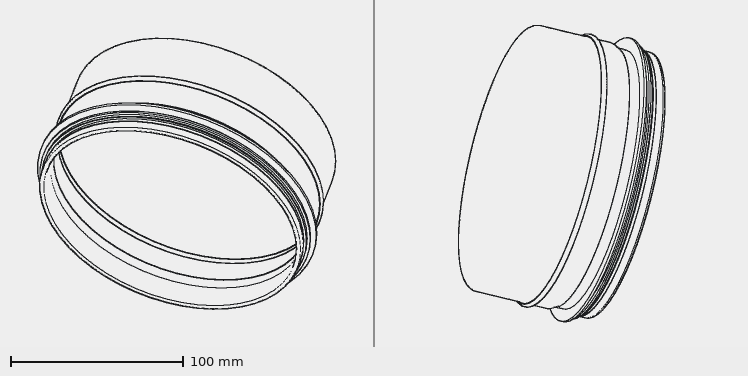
import cadquery as cq
import math

length = 72.0
mouth_y = -length / 2

sheet = 0.5
body_radius = 159.0 / 2
back_bend = 3.4
bead_offset = 38.3
bead_half_width = 2.96
bead_root_half_width = 1.7
bead_root_rise = 0.7
bead_rise = 2.0
shoulder_offset = 26.0
shoulder_bend_length = 0.8
shoulder_bend_drop = 0.2
neck_offset = 21.7
neck_radius = 155.3 / 2
waist_offset = 9.8
waist_radius = 154.2 / 2

hem_end_offset = 6.0
hem_fold_radius = (body_radius - waist_radius + sheet) / 2
hem_middle_radius = body_radius - hem_fold_radius

sleeve_radius = body_radius - sheet
main_lip_radius = 169.4 / 2
main_lip_offset = 13.9
main_lip_width = 1.5
middle_lip_radius = 164.3 / 2
middle_lip_offset = 10.2
middle_lip_width = 1.2
front_lip_radius = 80.5
front_lip_offset = 8.1
front_lip_width = 0.5
lip_groove_radius = 79.5
lip_groove_offset = 9.7
gasket_end_offset = main_lip_offset + main_lip_width


def neck_radius_at(offset):
    """Outer radius of the slightly conical neck."""
    slope = (neck_radius - waist_radius) / (neck_offset - waist_offset)
    return waist_radius + slope * (offset - waist_offset)


def place(radius, offset):
    """Profile point from a radius and an offset."""
    return (radius, mouth_y + offset)


def revolve(profile):
    """Close a half profile and turn it around the Y axis."""
    return profile.close().revolve(360, (0, 0, 0), (0, 1, 0))


def bead_root_arc_middle(wall, side):
    """Middle of the root arc that leaves the wall tangentially; side is +1 or -1 along Y."""
    run = bead_half_width - bead_root_half_width
    radius = (run**2 + bead_root_rise**2) / (2 * bead_root_rise)
    half_angle = math.asin(run / radius) / 2
    along = bead_half_width - radius * math.sin(half_angle)
    return place(wall + radius * (1 - math.cos(half_angle)), bead_offset + side * along)


def cup_solid(inset):
    """Filled cup above the hem fold, with its surface moved inward by inset."""
    wall = body_radius - inset
    bead_root = wall + bead_root_rise
    bend = back_bend - inset
    bend_middle = bend * math.sqrt(0.5)
    bend_center_radius = body_radius - back_bend
    bend_center_offset = length - back_bend
    profile = (
        cq.Workplane("XY")
        .moveTo(*place(0, length - inset))
        .lineTo(*place(bend_center_radius, length - inset))
        .threePointArc(
            place(bend_center_radius + bend_middle, bend_center_offset + bend_middle),
            place(wall, bend_center_offset),
        )
        .lineTo(*place(wall, bead_offset + bead_half_width))
        .threePointArc(
            bead_root_arc_middle(wall, 1),
            place(bead_root, bead_offset + bead_root_half_width),
        )
        .threePointArc(
            place(wall + bead_rise, bead_offset),
            place(bead_root, bead_offset - bead_root_half_width),
        )
        .threePointArc(
            bead_root_arc_middle(wall, -1),
            place(wall, bead_offset - bead_half_width),
        )
        .lineTo(*place(wall, shoulder_offset))
        .tangentArcPoint(
            place(wall - shoulder_bend_drop, shoulder_offset - shoulder_bend_length),
            relative=False,
        )
        .lineTo(*place(neck_radius - inset, neck_offset))
        .lineTo(*place(waist_radius - inset, waist_offset))
        .lineTo(*place(waist_radius - inset, hem_fold_radius))
        .lineTo(*place(0, hem_fold_radius))
    )
    return revolve(profile)


def make_hem():
    """Half-round fold at the mouth with its outer skirt."""
    inner_fold = hem_fold_radius - sheet
    profile = (
        cq.Workplane("XY")
        .moveTo(*place(waist_radius - sheet, hem_fold_radius))
        .threePointArc(place(hem_middle_radius, 0), place(body_radius, hem_fold_radius))
        .lineTo(*place(body_radius, hem_end_offset))
        .lineTo(*place(sleeve_radius, hem_end_offset))
        .lineTo(*place(sleeve_radius, hem_fold_radius))
        .threePointArc(
            place(hem_middle_radius, hem_fold_radius - inner_fold),
            place(waist_radius, hem_fold_radius),
        )
    )
    return revolve(profile)


def make_cap():
    return cup_solid(0).cut(cup_solid(sheet)).union(make_hem())


def make_gasket():
    """Lipped sleeve whose front end is held inside the hem."""
    profile = (
        cq.Workplane("XY")
        .moveTo(*place(waist_radius, hem_fold_radius))
        .lineTo(*place(sleeve_radius, hem_fold_radius))
        .lineTo(*place(sleeve_radius, front_lip_offset))
        .lineTo(*place(front_lip_radius, front_lip_offset))
        .lineTo(*place(front_lip_radius, front_lip_offset + front_lip_width))
        .lineTo(*place(lip_groove_radius, lip_groove_offset))
        .lineTo(*place(front_lip_radius, middle_lip_offset))
        .lineTo(*place(middle_lip_radius, middle_lip_offset))
        .lineTo(*place(middle_lip_radius, middle_lip_offset + middle_lip_width))
        .lineTo(*place(sleeve_radius, middle_lip_offset + middle_lip_width))
        .lineTo(*place(sleeve_radius, main_lip_offset))
        .lineTo(*place(main_lip_radius, main_lip_offset))
        .lineTo(*place(main_lip_radius, gasket_end_offset))
        .lineTo(*place(neck_radius_at(gasket_end_offset), gasket_end_offset))
        .lineTo(*place(waist_radius, waist_offset))
    )
    return revolve(profile)


cap = make_cap()
gasket = make_gasket()

result = cq.Compound.makeCompound([cap.val(), gasket.val()])